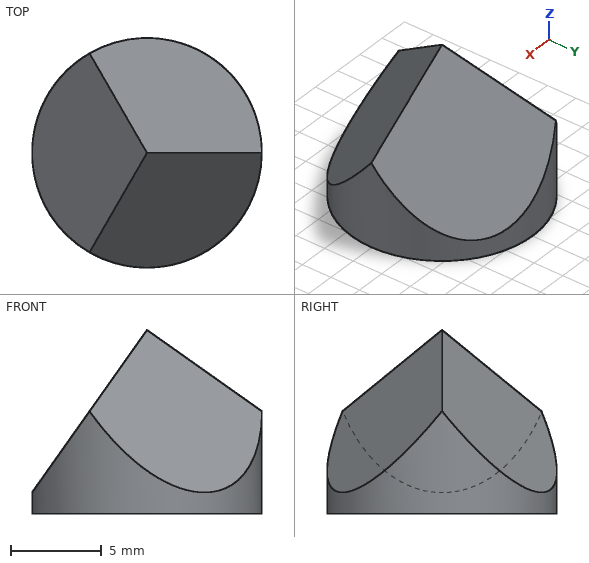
import cadquery as cq
import math

diameter = 12.7
apex_height = 10.16
face_count = 3
face_slope = math.sqrt(2)

wedge_reach = 0.55 * diameter
wedge_width = 2 * wedge_reach


def corner_face_wedge(angle):
    """Material above one sloping face; at angle 0 the face looks toward -X."""
    wedge = (
        cq.Workplane("XZ")
        .moveTo(0, apex_height)
        .lineTo(-wedge_reach, apex_height - face_slope * wedge_reach)
        .lineTo(-wedge_reach, apex_height)
        .close()
        .extrude(wedge_width / 2, both=True)
    )
    return wedge.rotate((0, 0, 0), (0, 0, 1), angle)


result = cq.Workplane("XY").circle(diameter / 2).extrude(apex_height)

for index in range(face_count):
    result = result.cut(corner_face_wedge(index * 360 / face_count))